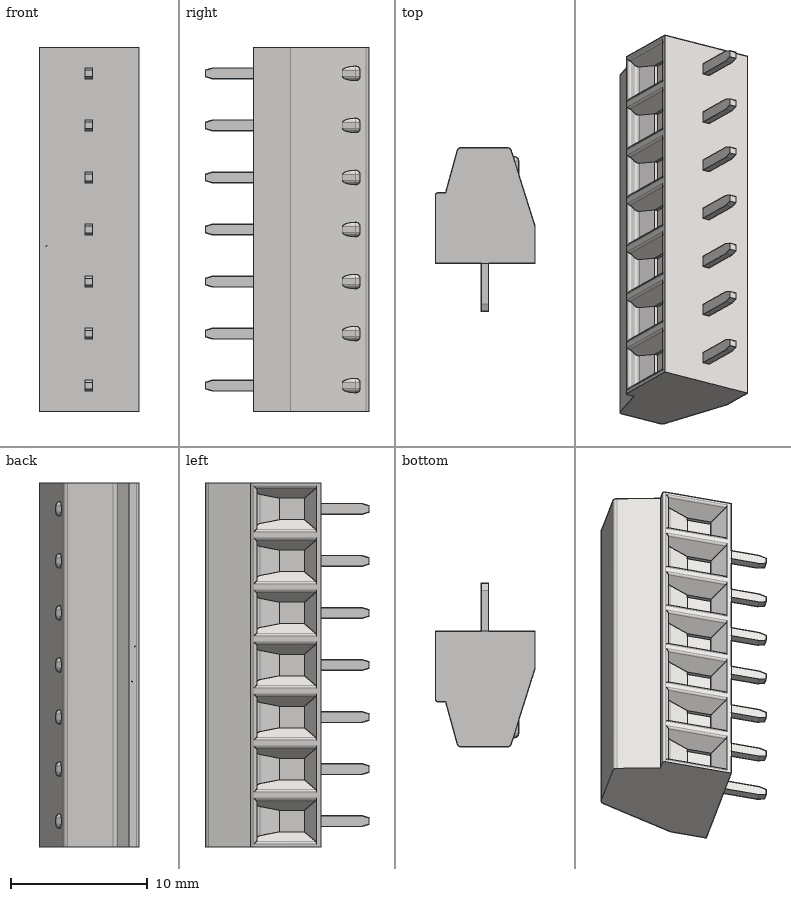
import cadquery as cq
import math


POLES = 7
LENGTH = 26.67
PITCH = LENGTH / POLES
WIDTH = 7.3
TOTAL_HEIGHT = 12.0
HEIGHT = 8.48
STEP_HEIGHT = 5.17
LEDGE_WIDTH = 0.75
TOP_LEFT = 1.65
TOP_RIGHT = 5.5
BACK_HEIGHT = 2.72
TOP_RADIUS = 0.32
LEDGE_RADIUS = 0.2

FUNNEL_LOW = 0.32
FUNNEL_HIGH = 4.7
FUNNEL_DEPTH = 1.15
HOLE_LOW = 1.23
HOLE_HIGH = 3.05
HOLE_WIDTH = 1.57
HOLE_DEPTH = 0.25
SIDE_TAPER = 34.0
ROOF_LEAN = 16.0
ROOF_RADIUS = 0.32
LIP_RADIUS = 0.25
FLANGE = 0.53

PIN_X = 3.63
PIN_WIDTH = 0.53
PIN_BREADTH = 0.8
PIN_LENGTH = TOTAL_HEIGHT - HEIGHT
PIN_ROOT = 0.27
TIP_LENGTH = 0.53
TIP_BREADTH = 0.48

NUB_REACH = 6.1
NUB_TOP = 7.81
NUB_LOW = 6.13
NUB_BREADTH = 1.07
NUB_RADIUS = 0.32


def make_housing():
    outline = [
        (0, 0),
        (WIDTH, 0),
        (WIDTH, BACK_HEIGHT),
        (TOP_RIGHT, HEIGHT),
        (TOP_LEFT, HEIGHT),
        (LEDGE_WIDTH, STEP_HEIGHT),
        (0, STEP_HEIGHT),
    ]
    housing = cq.Workplane("XY").polyline(outline).close().extrude(LENGTH)
    housing = housing.edges("|Z and >Y").fillet(TOP_RADIUS)
    ledge_corner = cq.selectors.NearestToPointSelector((0, STEP_HEIGHT, LENGTH / 2))
    return housing.edges(ledge_corner).fillet(LEDGE_RADIUS)


def make_funnel(center_z):
    """Cutter for one wire entry: a side profile crossed with a tapered plan profile."""
    half_hole = HOLE_WIDTH / 2
    half_mouth = half_hole + FUNNEL_DEPTH * math.tan(math.radians(SIDE_TAPER))
    roof_drop = FUNNEL_HIGH - HOLE_HIGH
    roof_start = FUNNEL_DEPTH - roof_drop * math.tan(math.radians(ROOF_LEAN))

    side_outline = [
        (-FLANGE, FUNNEL_LOW),
        (0, FUNNEL_LOW),
        (FUNNEL_DEPTH, HOLE_LOW),
        (FUNNEL_DEPTH, HOLE_HIGH),
        (roof_start, FUNNEL_HIGH),
        (0, FUNNEL_HIGH),
        (0, FUNNEL_HIGH + FLANGE),
        (-FLANGE, FUNNEL_HIGH + FLANGE),
    ]
    reach = half_mouth + FLANGE
    side = cq.Workplane("XY").polyline(side_outline).close().extrude(reach, both=True)
    roof_edge = cq.selectors.NearestToPointSelector((roof_start, FUNNEL_HIGH, 0))
    side = side.edges(roof_edge).fillet(ROOF_RADIUS)
    top_lip = cq.selectors.NearestToPointSelector((0, FUNNEL_HIGH, 0))
    side = side.edges(top_lip).fillet(LIP_RADIUS)

    plan_outline = [
        (-FLANGE, -reach),
        (0, -reach),
        (0, -half_mouth),
        (FUNNEL_DEPTH, -half_hole),
        (FUNNEL_DEPTH, half_hole),
        (0, half_mouth),
        (0, reach),
        (-FLANGE, reach),
    ]
    plan = cq.Workplane("XZ").polyline(plan_outline).close().extrude(-HEIGHT)
    for lip_z in (-half_mouth, half_mouth):
        side_lip = cq.selectors.NearestToPointSelector((0, HEIGHT / 2, lip_z))
        plan = plan.edges(side_lip).fillet(LIP_RADIUS)

    hole_size = (FUNNEL_DEPTH + HOLE_DEPTH, HOLE_HIGH - HOLE_LOW, HOLE_WIDTH)
    hole = cq.Workplane("XY").box(*hole_size, centered=(False, False, True))
    hole = hole.translate((0, HOLE_LOW, 0))
    return side.intersect(plan).union(hole).translate((0, 0, center_z))


def make_pin(center_z):
    """Flat solder pin whose tip narrows along Z only."""
    half_breadth = PIN_BREADTH / 2
    half_tip = TIP_BREADTH / 2
    outline = [
        (PIN_ROOT, -half_breadth),
        (PIN_ROOT, half_breadth),
        (TIP_LENGTH - PIN_LENGTH, half_breadth),
        (-PIN_LENGTH, half_tip),
        (-PIN_LENGTH, -half_tip),
        (TIP_LENGTH - PIN_LENGTH, -half_breadth),
    ]
    pin = cq.Workplane("YZ").polyline(outline).close().extrude(PIN_WIDTH / 2, both=True)
    return pin.translate((PIN_X, 0, center_z))


def make_nub(center_z):
    """Small block standing on the sloped back, rounded all around its outside."""
    size = (NUB_REACH - PIN_X, NUB_TOP - NUB_LOW, NUB_BREADTH)
    nub = cq.Workplane("XY").box(*size, centered=(False, False, True))
    nub = nub.edges(">X or >Y").fillet(NUB_RADIUS)
    return nub.translate((PIN_X, NUB_LOW, center_z))


result = make_housing()
for pole in range(POLES):
    pole_z = (pole + 0.5) * PITCH
    result = result.cut(make_funnel(pole_z))
    result = result.union(make_pin(pole_z))
    result = result.union(make_nub(pole_z))